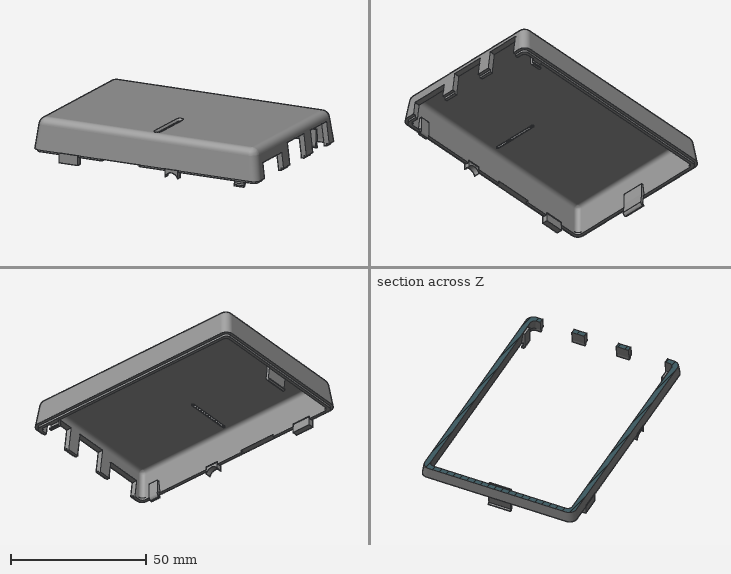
import cadquery as cq
length = 94.0
width = 63.0
height = 12.0
draft_angle = 7.0
edge_radius = 3.0
wall = 2.2
roof = 1.2
inner_edge_radius = edge_radius - roof

lip_inset = 1.1
lip_depth = 1.0

slot_center = (2.15, -16.4)
slot_length = 20.4
slot_width = 2.6
slot_chamfer = 0.8
slot_chamfer_angle = 45.0

ports = [
    (12.75, 25.6, 8.5),
    (-5.4, 7.6, 8.5),
    (-25.4, -10.5, 6.0),
]
port_cut_depth = 8.0

lip_gap_start = -18.3
lip_gap_end = -2.8

tab_outer_y = -31.2
tab_thickness = 2.2
plain_tab_center = -31.95
plain_tab_width = 7.8
plain_tab_depth = 3.9
arch_tab_center = 11.0
arch_tab_width = 5.3
arch_tab_depth = 3.3
arch_top = -1.35
arch_radius = 2.75

hook_root_height = 4.0
hook_root_reach = -1.0
hook_bulge_sagitta = 0.2
end_hook = {
    "width": 9.0,
    "stem_thickness": 1.1,
    "neck": {"reach": 0.5, "drop": 5.4},
    "tip": {"reach": -0.1, "top_drop": 5.8, "bottom_drop": 6.0},
    "heel": {"reach": 0.6, "drop": 6.4},
    "bulge": {"reach": 1.6, "drop": 5.1},
}
side_hook = {
    "width": 4.0,
    "stem_thickness": 0.85,
    "neck": {"reach": 0.0, "drop": 2.3},
    "tip": {"reach": -0.65, "top_drop": 2.7, "bottom_drop": 3.3},
    "heel": {"reach": 0.15, "drop": 3.3},
    "bulge": {"reach": 0.95, "drop": 1.9},
}
end_hook_x = -44.7
side_hook_x = 38.2
side_hook_y = -28.75


def drafted_block(block_length, block_width, block_height, radius):
    """Block tapering upwards, its upright and top edges rounded."""
    return (
        cq.Workplane("XY")
        .rect(block_length, block_width)
        .extrude(block_height, taper=draft_angle)
        .edges("not #Z")
        .fillet(radius)
        .faces(">Z")
        .edges()
        .fillet(radius)
    )


def box_between(x_range, y_range, z_range):
    """Axis-aligned box given by its limits along each axis."""
    limits = (x_range, y_range, z_range)
    sizes = [high - low for low, high in limits]
    corner = tuple(low for low, high in limits)
    return cq.Workplane("XY").box(*sizes, centered=False).translate(corner)


def make_shell():
    outer = drafted_block(length, width, height, edge_radius)
    cavity = drafted_block(
        length - 2 * wall, width - 2 * wall, height - roof, inner_edge_radius
    )
    return outer.cut(cavity)


def make_lip():
    ring = (
        cq.Workplane("XY")
        .rect(length - 2 * lip_inset, width - 2 * lip_inset)
        .extrude(-lip_depth)
        .edges("|Z")
        .fillet(edge_radius - lip_inset)
    )
    hole = (
        cq.Workplane("XY")
        .rect(length - 2 * wall, width - 2 * wall)
        .extrude(-lip_depth)
        .edges("|Z")
        .fillet(inner_edge_radius)
    )
    gap = box_between(
        (lip_gap_start, lip_gap_end),
        (-width / 2, -width / 2 + wall),
        (-lip_depth, 0),
    )
    return ring.cut(hole).cut(gap)


def make_slot():
    top = cq.Workplane("XY", origin=(*slot_center, height))
    through = top.slot2D(
        slot_length - 2 * slot_chamfer, slot_width - 2 * slot_chamfer, 90
    ).extrude(-roof)
    funnel = top.slot2D(slot_length, slot_width, 90).extrude(
        -slot_chamfer, taper=slot_chamfer_angle
    )
    return through.union(funnel)


def make_port(low_y, high_y, top_z):
    return box_between(
        (length / 2 - port_cut_depth, length / 2), (low_y, high_y), (-lip_depth, top_z)
    )


def make_tab(center_x, tab_width, depth):
    return box_between(
        (center_x - tab_width / 2, center_x + tab_width / 2),
        (tab_outer_y, tab_outer_y + tab_thickness),
        (-depth, 0),
    )


def make_arch_tab():
    arch = (
        cq.Workplane("XZ", origin=(0, tab_outer_y, 0))
        .center(arch_tab_center, arch_top - arch_radius)
        .circle(arch_radius)
        .extrude(-tab_thickness)
    )
    return make_tab(arch_tab_center, arch_tab_width, arch_tab_depth).cut(arch)


def make_hook(hook):
    """Hook at the origin, its inner side facing +X; its root embeds in wall and lip."""
    stem, neck, tip = hook["stem_thickness"], hook["neck"], hook["tip"]
    heel, bulge = hook["heel"], hook["bulge"]
    return (
        cq.Workplane("XZ")
        .moveTo(hook_root_reach, hook_root_height)
        .lineTo(hook_root_reach, -lip_depth)
        .lineTo(0, -lip_depth)
        .lineTo(neck["reach"], -neck["drop"])
        .lineTo(tip["reach"], -tip["top_drop"])
        .lineTo(tip["reach"], -tip["bottom_drop"])
        .lineTo(heel["reach"], -heel["drop"])
        .sagittaArc((bulge["reach"], -bulge["drop"]), -hook_bulge_sagitta)
        .lineTo(stem, -lip_depth)
        .lineTo(stem, hook_root_height)
        .close()
        .extrude(hook["width"] / 2, both=True)
    )


def make_end_hook():
    """Single hook in the middle of the -X wall."""
    return make_hook(end_hook).translate((end_hook_x, 0, 0))


def make_side_hooks():
    """Pair of hooks facing each other on the -Y and +Y walls."""
    front_hook = (
        make_hook(side_hook)
        .rotate((0, 0, 0), (0, 0, 1), 90)
        .translate((side_hook_x, side_hook_y, 0))
    )
    return front_hook, front_hook.mirror("XZ")


result = make_shell().union(make_lip()).cut(make_slot())
for port in ports:
    result = result.cut(make_port(*port))

additions = [
    make_tab(plain_tab_center, plain_tab_width, plain_tab_depth),
    make_arch_tab(),
    make_end_hook(),
    *make_side_hooks(),
]
for addition in additions:
    result = result.union(addition)